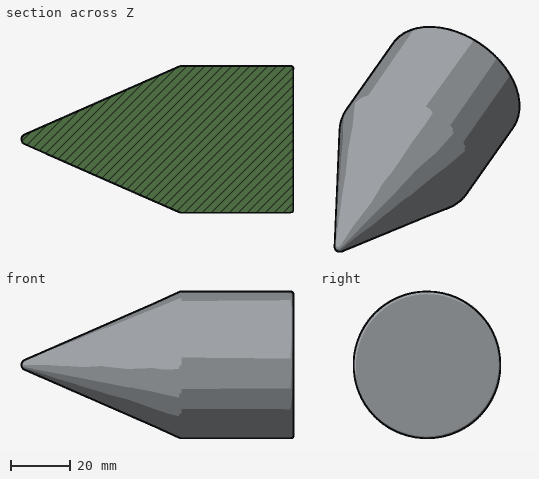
import cadquery as cq
import math

length = 91.7
body_radius = 24.8
cone_length = 53.55
tip_radius = 1.8
shoulder_fillet = 2.0
rear_fillet = 1.0

tip_center_x = tip_radius
flank_run = cone_length - tip_center_x
flank_reach = math.hypot(flank_run, body_radius)
normal_angle = math.atan2(body_radius, flank_run) + math.acos(tip_radius / flank_reach)


def on_tip(angle):
    """Point on the tip sphere's profile, at an angle from the +X axis."""
    return tip_center_x + tip_radius * math.cos(angle), tip_radius * math.sin(angle)


profile = (
    cq.Workplane("XY")
    .moveTo(0, 0)
    .threePointArc(on_tip((math.pi + normal_angle) / 2), on_tip(normal_angle))
    .lineTo(cone_length, body_radius)
    .lineTo(length, body_radius)
    .lineTo(length, 0)
    .close()
)
nose = profile.revolve(360, (0, 0, 0), (1, 0, 0))

shoulder = cq.selectors.BoxSelector(
    (cone_length - 0.9, -body_radius - 0.9, -body_radius - 0.9),
    (cone_length + 0.9, body_radius + 0.9, body_radius + 0.9),
)
result = nose.edges(shoulder).edges("%CIRCLE").fillet(shoulder_fillet)
result = result.faces(">X").edges().fillet(rear_fillet)